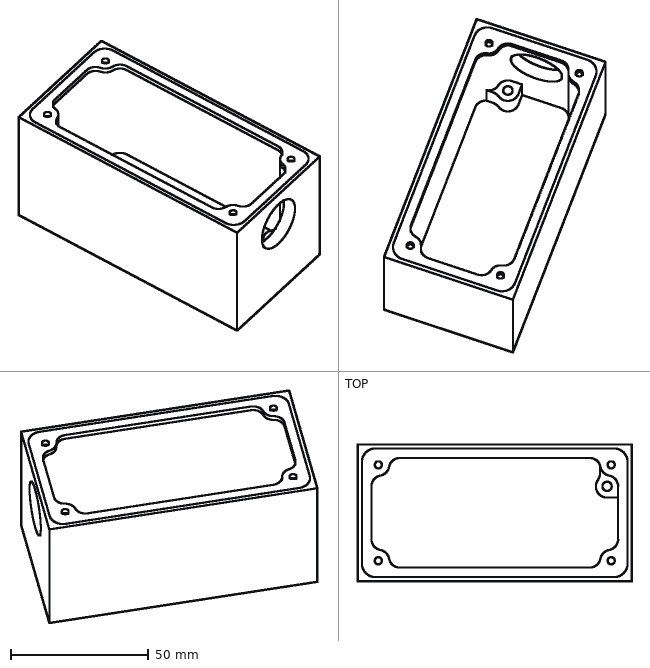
import cadquery as cq
import math

LENGTH = 100.0
WIDTH = 50.0
HEIGHT = 50.0
WALL = 5.0
FLOOR = WALL

GASKET_THICKNESS = 2.0
GASKET_MARGIN = 1.5
GASKET_CORNER_RADIUS = 5.0

SCREW_INSET = 7.5
SCREW_DIAMETER = 2.6
SCREW_DEPTH = 15.0
BOSS_RADIUS = 4.0
BOSS_FILLET = 4.0

POST_INSET_X = 9.0
POST_INSET_Y = 15.35
POST_RADIUS = 4.1
POST_FILLET = 5.0
POST_HOLE_DIAMETER = 3.4
POST_HEIGHT = 10.0

PORT_DIAMETER = 20.0
PORT_CENTRE_Z = 35.0

SEAT_Z = HEIGHT - GASKET_THICKNESS
CORNERS = [(sx, sy) for sx in (-1, 1) for sy in (-1, 1)]


def from_corner(inset_x, inset_y, sx=1, sy=1):
    """Plan point given by its insets from the outer faces on the sx and sy sides."""
    return (sx * (LENGTH / 2 - inset_x), sy * (WIDTH / 2 - inset_y))


def toward(start, end, distance):
    """Point at the given distance from start on the way to end."""
    share = distance / math.dist(start, end)
    return tuple(a + share * (b - a) for a, b in zip(start, end))


def arc_middle(centre, start, end):
    """Middle point of the shorter arc from start to end around centre."""
    chord_middle = toward(start, end, math.dist(start, end) / 2)
    return toward(centre, chord_middle, math.dist(centre, start))


def corner_boss(sx, sy, bottom, top):
    """Corner filling around one screw, blended into both walls by concave fillets."""
    fillet_inset = WALL + BOSS_FILLET
    reach = BOSS_RADIUS + BOSS_FILLET
    tangent_inset = SCREW_INSET + math.sqrt(reach**2 - (fillet_inset - SCREW_INSET) ** 2)

    screw = from_corner(SCREW_INSET, SCREW_INSET, sx, sy)
    corner = from_corner(WALL, WALL, sx, sy)
    long_wall_end = from_corner(tangent_inset, WALL, sx, sy)
    short_wall_end = from_corner(WALL, tangent_inset, sx, sy)
    long_centre = from_corner(tangent_inset, fillet_inset, sx, sy)
    short_centre = from_corner(fillet_inset, tangent_inset, sx, sy)

    long_blend = toward(screw, long_centre, BOSS_RADIUS)
    short_blend = toward(screw, short_centre, BOSS_RADIUS)
    boss_front = arc_middle(screw, long_blend, short_blend)

    return (
        cq.Workplane("XY", origin=(0, 0, bottom))
        .moveTo(*corner)
        .lineTo(*long_wall_end)
        .threePointArc(arc_middle(long_centre, long_wall_end, long_blend), long_blend)
        .threePointArc(boss_front, short_blend)
        .threePointArc(arc_middle(short_centre, short_blend, short_wall_end), short_wall_end)
        .close()
        .extrude(top - bottom)
    )


def inner_opening(bottom, top):
    """Rectangular opening between the walls, reduced by the four corner bosses."""
    opening = (
        cq.Workplane("XY", origin=(0, 0, bottom))
        .rect(LENGTH - 2 * WALL, WIDTH - 2 * WALL)
        .extrude(top - bottom)
    )
    for sx, sy in CORNERS:
        opening = opening.cut(corner_boss(sx, sy, bottom, top))
    return opening


def gasket_blank():
    """Rounded plate that fills the gasket seat."""
    return (
        cq.Workplane("XY", origin=(0, 0, SEAT_Z))
        .rect(LENGTH - 2 * GASKET_MARGIN, WIDTH - 2 * GASKET_MARGIN)
        .extrude(GASKET_THICKNESS)
        .edges("|Z")
        .fillet(GASKET_CORNER_RADIUS)
    )


def screw_holes():
    """Four blind screw holes, measured down from the top face."""
    return (
        cq.Workplane("XY", origin=(0, 0, HEIGHT - SCREW_DEPTH))
        .pushPoints([from_corner(SCREW_INSET, SCREW_INSET, sx, sy) for sx, sy in CORNERS])
        .circle(SCREW_DIAMETER / 2)
        .extrude(SCREW_DEPTH)
    )


def mounting_post():
    """Post joined to the +X wall and blended into the side of the +X +Y boss."""
    side_inset = SCREW_INSET + BOSS_RADIUS
    centre_inset_x = side_inset + POST_FILLET
    reach = POST_RADIUS + POST_FILLET
    centre_inset_y = POST_INSET_Y - math.sqrt(reach**2 - (centre_inset_x - POST_INSET_X) ** 2)

    post = from_corner(POST_INSET_X, POST_INSET_Y)
    fillet_centre = from_corner(centre_inset_x, centre_inset_y)
    fillet_start = from_corner(side_inset, centre_inset_y)
    blend = toward(post, fillet_centre, POST_RADIUS)

    body = (
        cq.Workplane("XY", origin=(0, 0, FLOOR))
        .moveTo(*from_corner(WALL, SCREW_INSET))
        .lineTo(*from_corner(side_inset, SCREW_INSET))
        .lineTo(*fillet_start)
        .threePointArc(arc_middle(fillet_centre, fillet_start, blend), blend)
        .threePointArc(
            from_corner(POST_INSET_X + POST_RADIUS, POST_INSET_Y),
            from_corner(POST_INSET_X, POST_INSET_Y + POST_RADIUS),
        )
        .lineTo(*from_corner(WALL, POST_INSET_Y + POST_RADIUS))
        .close()
        .extrude(POST_HEIGHT)
    )
    hole = (
        cq.Workplane("XY", origin=(0, 0, FLOOR))
        .center(*post)
        .circle(POST_HOLE_DIAMETER / 2)
        .extrude(POST_HEIGHT)
    )
    return body.cut(hole)


def wall_port():
    """Cylinder that cuts the round opening in the +X wall."""
    return (
        cq.Workplane("YZ", origin=(LENGTH / 2 - WALL, 0, 0))
        .center(0, PORT_CENTRE_Z)
        .circle(PORT_DIAMETER / 2)
        .extrude(WALL)
    )


def build_housing():
    """Open-topped box with screw bosses, post, wall opening and gasket seat."""
    block = cq.Workplane("XY").box(LENGTH, WIDTH, HEIGHT, centered=(True, True, False))
    return (
        block.cut(inner_opening(FLOOR, HEIGHT))
        .union(mounting_post())
        .cut(wall_port())
        .cut(gasket_blank())
        .cut(screw_holes())
    )


def build_gasket():
    """Flat ring with the same inner outline and screw holes as the housing."""
    return gasket_blank().cut(inner_opening(SEAT_Z, HEIGHT)).cut(screw_holes())


housing = build_housing()
gasket = build_gasket()

result = cq.Compound.makeCompound([housing.solids().val(), gasket.solids().val()])